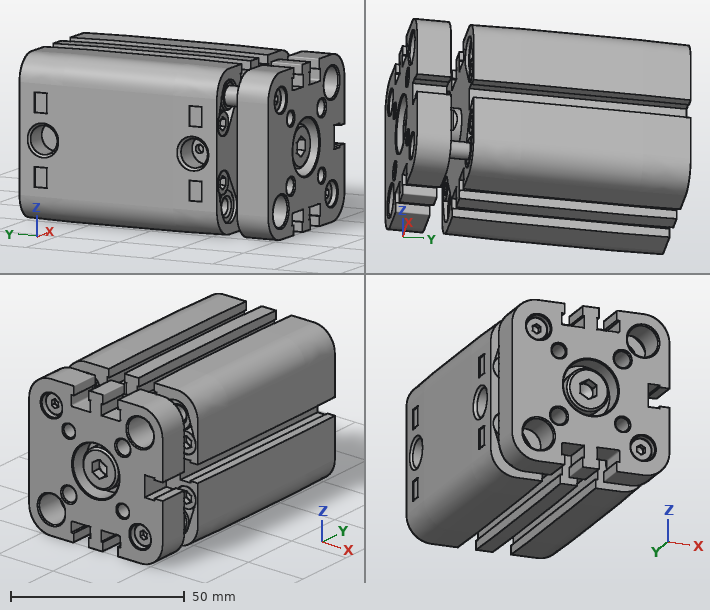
import cadquery as cq
import math


WIDTH = 49.0
HALF_WIDTH = WIDTH / 2
CORNER_RADIUS = 8.0
TOTAL_LENGTH = 80.2
PLATE_THICKNESS = 10.0
PLATE_GAP = 6.6
BODY_LENGTH = TOTAL_LENGTH - PLATE_THICKNESS - PLATE_GAP
CAP_LENGTH = 14.0
CAP_DRAFT = 0.25
CAP_DRAFT_ANGLE = math.degrees(math.atan(CAP_DRAFT / CAP_LENGTH))

PLATE_BACK = -PLATE_GAP
PLATE_FRONT = PLATE_BACK - PLATE_THICKNESS

SLOT_DEPTH = 6.6
SLOT_LIP = 3.0
SLOT_CORNER_RADIUS = 0.6
TWIN_SLOT_INNER = 2.0
TWIN_SLOT_OUTER = 9.0
TWIN_MOUTH_INNER = 2.6
TWIN_MOUTH_OUTER_PLATE = 8.1
TWIN_MOUTH_OUTER_BODY = 8.3
SIDE_SLOT_HALF = 3.5
SIDE_MOUTH_HALF = 2.9
MOUTH_EDGE_RADIUS = 0.3

CORNER_OFFSET = 32.5 / 2
GUIDE_PIN_LARGE = 6.0
GUIDE_PIN_SMALL = 5.0
MOUNT_HOLE = 4.92
MOUNT_HOLE_MOUTH = 6.32
MOUNT_INSERT_SUNK = 1.0
PIN_COLLAR = 8.57
PIN_COLLAR_CHAMFER = 0.45
PIN_COLLAR_SUNK = 0.1
PLATE_ACCESS_HOLE = 9.5
PLATE_ACCESS_MOUTH = 10.3

PIN_SCREW_BORE = 7.5
PIN_SCREW_BORE_MOUTH = 8.1
PIN_SCREW_BORE_DEPTH = 5.0
PIN_SCREW_HEAD = 7.0
PIN_SCREW_HEAD_CHAMFER = 0.25
PIN_SCREW_SUNK = 1.6
PIN_SCREW_HEX = 2.5

HEX_DEPTH_RATIO = 0.6
HEX_TIP_RATIO = 0.25
HEX_HALF_ANGLE = 30.0

TOOL_HOLE_OFFSET = 9.9
TOOL_THREAD = 4.2
TOOL_THREAD_MOUTH = 4.92
TOOL_DOWEL = 5.0
TOOL_DOWEL_MOUTH = 5.8

ROD_DIAMETER = 12.0
ROD_END_CHAMFER = 0.4
ROD_END_TAPER_LENGTH = 1.0
ROD_FLATS = 10.0
ROD_FLAT_LENGTH = 4.3
ROD_FLAT_RUNOUT = (ROD_DIAMETER - ROD_FLATS) / 2
ROD_SCREW_BORE = 17.0
ROD_SCREW_BORE_MOUTH = 17.6
ROD_SCREW_BORE_DEPTH = 6.5
ROD_SCREW_HEAD = 13.0
ROD_SCREW_HEAD_CHAMFER = 0.65
ROD_SCREW_SUNK = 1.7
ROD_SCREW_HEX = 5.2

CAP_SCREW_X = 19.9
CAP_SCREW_Z = 8.6
CAP_SCREW_HEAD = 7.0
CAP_SCREW_SUNK = 0.25
CAP_SCREW_HEX = 3.5

POCKET_CORNER = 9.5
POCKET_SCREW = 7.2
POCKET_DEPTH = 4.0

PORT_DIAMETER = 8.57
PORT_MOUTH = 10.3
PORT_DEPTH = 8.0
PORT_INSET = 7.6
PORT_BLEED = 2.5
PORT_BLEED_SHIFT = 1.9
PORT_BLEED_DEPTH = 2.0
LABEL_LENGTH = 4.0
LABEL_HEIGHT = 5.9
LABEL_INSET = 6.9
LABEL_Z = 10.9
LABEL_DEPTH = 0.3


def section(y):
    """Sketch plane at depth y whose normal points to +Y (local x is -X, local y is +Z)."""
    return cq.Workplane(cq.Plane(origin=(0, y, 0), xDir=(-1, 0, 0), normal=(0, 1, 0)))


def rod_along_y(diameter, x, z, start, end):
    """Cylinder parallel to Y."""
    return section(start).center(-x, z).circle(diameter / 2).extrude(end - start)


def rounded_block(start, length):
    """Square prism with rounded corners, along +Y."""
    block = section(start).rect(WIDTH, WIDTH).extrude(length)
    return block.edges("|Y").fillet(CORNER_RADIUS)


def countersink(mouth, bore, x, z, y):
    """45 degree conical mouth of a hole entering at y and going to +Y."""
    depth = (mouth - bore) / 2
    cone = cq.Solid.makeCone(mouth / 2, bore / 2, depth, cq.Vector(x, y, z), cq.Vector(0, 1, 0))
    return cq.Workplane(obj=cone)


def chamfered_hole(bore, mouth, x, z, y, depth):
    """Hole from y to +Y with a chamfered mouth."""
    return rod_along_y(bore, x, z, y, y + depth).union(countersink(mouth, bore, x, z, y))


def hex_socket(across_flats, x, z, y):
    """Hexagonal socket with two flats parallel to Z and a conical bottom."""
    across_corners = across_flats / math.cos(math.radians(HEX_HALF_ANGLE))
    depth = HEX_DEPTH_RATIO * across_flats
    socket = (
        section(y)
        .center(-x, z)
        .transformed(rotate=(0, 0, HEX_HALF_ANGLE))
        .polygon(6, across_corners)
        .extrude(depth)
    )
    tip = cq.Solid.makeCone(
        across_flats / 2, 0, HEX_TIP_RATIO * across_flats, cq.Vector(x, y + depth, z), cq.Vector(0, 1, 0)
    )
    return socket.union(cq.Workplane(obj=tip))


def screw_head(diameter, chamfer, hex_size, x, z, top, bottom):
    """Screw head facing -Y with a hexagonal socket."""
    head = rod_along_y(diameter, x, z, top, bottom)
    if chamfer:
        head = head.faces("<Y").chamfer(chamfer)
    return head.cut(hex_socket(hex_size, x, z, top))


def box_between(x_range, y_range, z_range):
    """Box given by its limits along each axis."""
    sizes = [high - low for low, high in (x_range, y_range, z_range)]
    corner = (x_range[0], y_range[0], z_range[0])
    return cq.Workplane("XY").box(*sizes, centered=False).translate(corner)


def twin_slot(side, top, mouth_outer, corner_radius, start, end):
    """One of the two undercut slots of the top (top = 1) or bottom (top = -1) face."""
    floor = HALF_WIDTH - SLOT_DEPTH
    lip = HALF_WIDTH - SLOT_LIP
    span = (start, end)
    chamber = box_between((TWIN_SLOT_INNER, TWIN_SLOT_OUTER), span, (floor, lip))
    if corner_radius:
        chamber = chamber.edges("|Y and >X and <Z").fillet(corner_radius)
    slot = chamber.union(box_between((TWIN_MOUTH_INNER, mouth_outer), span, (lip, HALF_WIDTH)))
    if side < 0:
        slot = slot.mirror("YZ")
    if top < 0:
        slot = slot.mirror("XY")
    return slot


def side_slot(start, end):
    """Undercut slot of the +X face."""
    floor = HALF_WIDTH - SLOT_DEPTH
    lip = HALF_WIDTH - SLOT_LIP
    span = (start, end)
    chamber = box_between((floor, lip), span, (-SIDE_SLOT_HALF, SIDE_SLOT_HALF))
    return chamber.union(box_between((lip, HALF_WIDTH), span, (-SIDE_MOUTH_HALF, SIDE_MOUTH_HALF)))


def round_mouth_edges(plate):
    """Round the outer edges of the twin slot mouths on the top and bottom faces."""
    for x in (TWIN_MOUTH_OUTER_PLATE, TWIN_MOUTH_INNER):
        for side in (1, -1):
            for top in (1, -1):
                middle = (side * x, (PLATE_FRONT + PLATE_BACK) / 2, top * HALF_WIDTH)
                plate = plate.edges(cq.selectors.NearestToPointSelector(middle)).fillet(MOUTH_EDGE_RADIUS)
    return plate


def cut_slots(block, mouth_outer, corner_radius, start, end):
    """Cut the five sensor slots from start to end."""
    for side in (1, -1):
        for top in (1, -1):
            block = block.cut(twin_slot(side, top, mouth_outer, corner_radius, start, end))
    return block.cut(side_slot(start, end))


def drafted_cap(joint, direction):
    """End cap that narrows from the joint towards its free end."""
    plane = cq.Plane(origin=(0, joint, 0), xDir=(1, 0, 0), normal=(0, direction, 0))
    outline = cq.Sketch().rect(WIDTH, WIDTH).vertices().fillet(CORNER_RADIUS)
    return cq.Workplane(plane).placeSketch(outline).extrude(CAP_LENGTH, taper=CAP_DRAFT_ANGLE)


def make_port(y, inward):
    """Air port on the -X face; the bleed hole is shifted towards the barrel middle."""
    face = cq.Plane(origin=(-HALF_WIDTH, y, 0), xDir=(0, 1, 0), normal=(1, 0, 0))
    port = cq.Workplane(face).circle(PORT_DIAMETER / 2).extrude(PORT_DEPTH)
    chamfer_depth = (PORT_MOUTH - PORT_DIAMETER) / 2
    mouth = cq.Solid.makeCone(
        PORT_MOUTH / 2, PORT_DIAMETER / 2, chamfer_depth, cq.Vector(-HALF_WIDTH, y, 0), cq.Vector(1, 0, 0)
    )
    bleed = (
        cq.Workplane(face)
        .center(inward * PORT_BLEED_SHIFT, 0)
        .circle(PORT_BLEED / 2)
        .extrude(PORT_DEPTH + PORT_BLEED_DEPTH)
    )
    return port.union(cq.Workplane(obj=mouth)).union(bleed)


def label_recess(y, z):
    """Shallow rectangular recess on the -X face."""
    depth = LABEL_DEPTH + CAP_DRAFT
    recess = cq.Workplane("XY").box(2 * depth, LABEL_LENGTH, LABEL_HEIGHT)
    return recess.translate((-HALF_WIDTH, y, z))


def corner_pocket(side, top):
    """Recess bounded by a corner circle, a screw circle and their outer tangents."""
    corner = rod_along_y(POCKET_CORNER, CORNER_OFFSET, CORNER_OFFSET, 0, POCKET_DEPTH)
    screw = rod_along_y(POCKET_SCREW, CAP_SCREW_X, CAP_SCREW_Z, 0, POCKET_DEPTH)

    step_x = CAP_SCREW_X - CORNER_OFFSET
    step_z = CAP_SCREW_Z - CORNER_OFFSET
    heading = math.atan2(step_z, step_x)
    spread = math.acos((POCKET_CORNER - POCKET_SCREW) / 2 / math.hypot(step_x, step_z))

    def tangent_point(x, z, diameter, angle):
        return (-x - diameter / 2 * math.cos(angle), z + diameter / 2 * math.sin(angle))

    web = (
        section(0)
        .polyline(
            [
                tangent_point(CORNER_OFFSET, CORNER_OFFSET, POCKET_CORNER, heading + spread),
                tangent_point(CAP_SCREW_X, CAP_SCREW_Z, POCKET_SCREW, heading + spread),
                tangent_point(CAP_SCREW_X, CAP_SCREW_Z, POCKET_SCREW, heading - spread),
                tangent_point(CORNER_OFFSET, CORNER_OFFSET, POCKET_CORNER, heading - spread),
            ]
        )
        .close()
        .extrude(POCKET_DEPTH)
    )
    pocket = web.union(corner).union(screw)
    if side < 0:
        pocket = pocket.mirror("YZ")
    if top < 0:
        pocket = pocket.mirror("XY")
    return pocket


def fit_corner(body, side, top):
    """Pocket with its cap screw, and a threaded insert or a pin collar in the corner circle."""
    x = side * CORNER_OFFSET
    z = top * CORNER_OFFSET
    body = body.cut(corner_pocket(side, top))
    screw = screw_head(
        CAP_SCREW_HEAD, 0, CAP_SCREW_HEX, side * CAP_SCREW_X, top * CAP_SCREW_Z, CAP_SCREW_SUNK, POCKET_DEPTH
    )
    body = body.union(screw)

    if side != top:
        collar = rod_along_y(PIN_COLLAR, x, z, PIN_COLLAR_SUNK, POCKET_DEPTH)
        return body.union(collar.faces("<Y").chamfer(PIN_COLLAR_CHAMFER))

    insert = rod_along_y(POCKET_CORNER, x, z, MOUNT_INSERT_SUNK, POCKET_DEPTH)
    body = body.union(insert)
    hole_length = BODY_LENGTH - MOUNT_INSERT_SUNK
    return body.cut(chamfered_hole(MOUNT_HOLE, MOUNT_HOLE_MOUTH, x, z, MOUNT_INSERT_SUNK, hole_length))


def make_body():
    """Barrel with its two drafted caps, slots, ports, screws and corner holes."""
    rear_joint = BODY_LENGTH - CAP_LENGTH
    body = rounded_block(CAP_LENGTH, rear_joint - CAP_LENGTH)
    body = body.union(drafted_cap(CAP_LENGTH, -1)).union(drafted_cap(rear_joint, 1))
    body = cut_slots(body, TWIN_MOUTH_OUTER_BODY, 0, 0, BODY_LENGTH)

    body = body.cut(make_port(PORT_INSET, 1)).cut(make_port(BODY_LENGTH - PORT_INSET, -1))
    for label_y in (LABEL_INSET, BODY_LENGTH - LABEL_INSET):
        for label_z in (LABEL_Z, -LABEL_Z):
            body = body.cut(label_recess(label_y, label_z))

    for side in (1, -1):
        for top in (1, -1):
            body = fit_corner(body, side, top)
    return body


def make_plate():
    """Yoke plate with its slots, access holes, screw bores and tool mounting holes."""
    plate = rounded_block(PLATE_FRONT, PLATE_THICKNESS)
    plate = cut_slots(plate, TWIN_MOUTH_OUTER_PLATE, SLOT_CORNER_RADIUS, PLATE_FRONT, PLATE_BACK)
    plate = round_mouth_edges(plate)

    for place in (CORNER_OFFSET, -CORNER_OFFSET):
        access = chamfered_hole(
            PLATE_ACCESS_HOLE, PLATE_ACCESS_MOUTH, place, place, PLATE_FRONT, PLATE_THICKNESS
        )
        plate = plate.cut(access)
        bore = chamfered_hole(
            PIN_SCREW_BORE, PIN_SCREW_BORE_MOUTH, place, -place, PLATE_FRONT, PIN_SCREW_BORE_DEPTH
        )
        plate = plate.cut(bore)
        head = screw_head(
            PIN_SCREW_HEAD,
            PIN_SCREW_HEAD_CHAMFER,
            PIN_SCREW_HEX,
            place,
            -place,
            PLATE_FRONT + PIN_SCREW_SUNK,
            PLATE_FRONT + PIN_SCREW_BORE_DEPTH,
        )
        plate = plate.union(head)

    for place in (TOOL_HOLE_OFFSET, -TOOL_HOLE_OFFSET):
        dowel = chamfered_hole(TOOL_DOWEL, TOOL_DOWEL_MOUTH, place, place, PLATE_FRONT, PLATE_THICKNESS)
        thread = chamfered_hole(TOOL_THREAD, TOOL_THREAD_MOUTH, place, -place, PLATE_FRONT, PLATE_THICKNESS)
        plate = plate.cut(dowel).cut(thread)

    bore = chamfered_hole(ROD_SCREW_BORE, ROD_SCREW_BORE_MOUTH, 0, 0, PLATE_FRONT, ROD_SCREW_BORE_DEPTH)
    head = screw_head(
        ROD_SCREW_HEAD,
        ROD_SCREW_HEAD_CHAMFER,
        ROD_SCREW_HEX,
        0,
        0,
        PLATE_FRONT + ROD_SCREW_SUNK,
        PLATE_FRONT + ROD_SCREW_BORE_DEPTH,
    )
    return plate.cut(bore).union(head)


def make_rod():
    """Piston rod end with two wrench flats facing -X and +X."""
    shoulder = PLATE_BACK + ROD_END_TAPER_LENGTH
    rod = rod_along_y(ROD_DIAMETER, 0, 0, shoulder, 0)
    end_radius = ROD_DIAMETER / 2 - ROD_END_CHAMFER
    tapered_end = cq.Solid.makeCone(
        end_radius, ROD_DIAMETER / 2, ROD_END_TAPER_LENGTH, cq.Vector(0, PLATE_BACK, 0), cq.Vector(0, 1, 0)
    )
    rod = rod.union(cq.Workplane(obj=tapered_end))
    flat_end = PLATE_BACK + ROD_FLAT_LENGTH
    inner = ROD_FLATS / 2
    outer = ROD_DIAMETER / 2
    flat = (
        cq.Workplane("XY", origin=(0, 0, -outer))
        .moveTo(inner, PLATE_BACK)
        .lineTo(outer, PLATE_BACK)
        .lineTo(outer, flat_end + ROD_FLAT_RUNOUT)
        .lineTo(inner, flat_end)
        .close()
        .extrude(ROD_DIAMETER)
    )
    return rod.cut(flat).cut(flat.mirror("YZ"))


def guide_pin(diameter, x, z):
    """Guide pin from the plate into its collar in the barrel."""
    return rod_along_y(diameter, x, z, PLATE_BACK, POCKET_DEPTH)


result = (
    make_body()
    .union(make_rod())
    .union(make_plate())
    .union(guide_pin(GUIDE_PIN_LARGE, -CORNER_OFFSET, CORNER_OFFSET))
    .union(guide_pin(GUIDE_PIN_SMALL, CORNER_OFFSET, -CORNER_OFFSET))
)